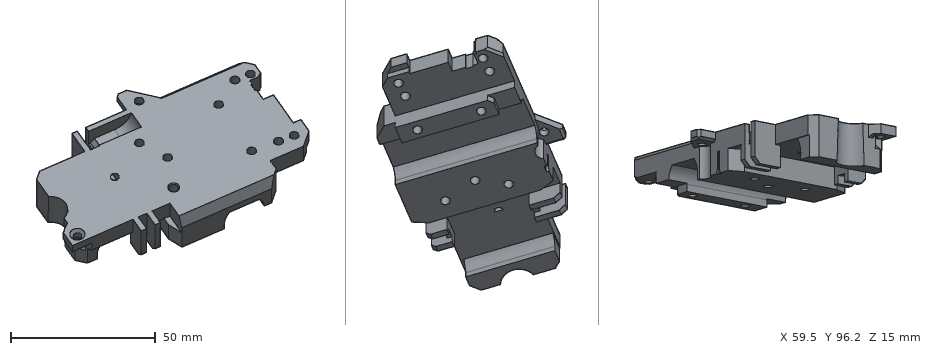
import cadquery as cq
import math

LENGTH = 96.2
WIDTH = 59.5
HEIGHT = 15.0
OVERCUT = 1.0

WALL_LEFT = 7.5
NECK_LEFT = 16.6
NECK_RIGHT = 51.0
NECK_FOOT_LEFT = 17.0
NECK_FOOT_RIGHT = 49.8
SHOULDER_Y = 38.6
STEP_Y = 78.1
REAR_Y = 94.1
REAR_EDGE_Y = 93.2
FRONT_Y = 3.4
FRONT_CORNER = 2.7
FOOT_CORNER = 3.2
SHOULDER_CORNER = 4.0

REAR_RIGHT = 51.4
RIGHT_TAB_LEFT = 40.6
RIGHT_TAB_CORNER = 5.0
LEFT_TAB_RIGHT = 16.1
NOTCH_LEFT, NOTCH_RIGHT, NOTCH_Y = 16.9, 26.5, 89.2
RELIEF_LEFT, RELIEF_RIGHT, RELIEF_Y = 18.9, 21.55, 88.6

DECK_Z = 7.9
TAIL_Z = 7.0
WEB_Z = 3.0
EAR_Z = 11.5
REAR_TAB_Z = 9.6

FIN_THICKNESS = 2.1
FRONT_FIN_Y = 24.0
REAR_FIN_Y = 29.4
FIN_RIGHT_END = 56.9
FIN_LEFT_CHAMFER = 2.3
FIN_RIGHT_CHAMFER = 1.7
SLOT_LEFT = 16.9
FIN_ROOT_LEFT = 18.95
FIN_ROOT_RIGHT = 49.2

ARCH_RADIUS = 7.9
ARCH_CENTRE_Z = 2.6
REAR_ARCH_Y = 63.3
FRONT_ARCH_Y = 18.4

MID_LEG_FRONT = 36.3
MID_LEG_CORNER_X = 5.5
GROOVE_Y = 44.0
GROOVE_WIDTH = 1.1
GROOVE_DEPTH = 0.5
GROOVE_MOUTH_DEPTH = 1.0
GROOVE_MOUTH_WIDTH = 2.3
GROOVE_MOUTH_HEIGHT = 2.9

REAR_FOOT_INSET = 8.2
REAR_FOOT_CORNER = 1.8

EAR_FRONT_Y = 45.5
EAR_TIP_REAR_Y = 49.8
EAR_CHAMFER = 1.0
EAR_ROOT_Y = EAR_TIP_REAR_Y + WALL_LEFT
EAR_HOLE = (6.3, 51.3)
EAR_GROOVE_DIAMETER = 6.4

LEFT_BEVEL = 1.5
RIGHT_BEVEL_X = 2.1
RIGHT_BEVEL_Z = 4.2
REAR_CORNER = 4.1
TAIL_BEVEL = 0.9

POCKET_LEFT = 9.5
POCKET_REAR_Y = 46.4
POCKET_FLOOR_Z = 9.7
POCKET_CURVE_END_Y = 39.7
POCKET_RAMP_Y = 31.7
POCKET_RAMP_END_Y = 30.1
POCKET_RAMP_DROP = 1.5

SCALLOP_X, SCALLOP_Y = 33.5, 1.2
SCALLOP_TOP_RADIUS = 5.9
SCALLOP_BOTTOM_RADIUS = 6.4
LUG_LEFT = 44.35
LUG_ROOT_LEFT = 41.4
LUG_HOLE = (47.4, 3.9)
LUG_HOLE_DIAMETER = 3.0
LUG_SINK_DIAMETER = 5.2
LUG_POCKET_DIAMETER = 5.8
LUG_POCKET_FLOOR_Z = 9.0
LUG_POCKET_BEVEL = 2.1
LUG_GUSSET = 1.2
LUG_GUSSET_WIDTH = 2.1

HOLE_DIAMETER = 3.3
WIDE_HOLE_DIAMETER = 3.4
HOLES = [(14.5, 90.7), (45.6, 90.7), (21.0, 74.6), (44.4, 74.6), (32.9, 47.7), (22.5, 42.3), EAR_HOLE]
WIDE_HOLES = [(14.2, 84.8), (45.2, 84.8)]
SUNK_HOLE = (45.5, 43.1)
SUNK_HOLE_MOUTH = 4.0
HALF_HOLE = (31.5, 27.6)
HALF_HOLE_DIAMETER = 3.0
HALF_HOLE_DEPTH = 0.3


def box(x0, x1, y0, y1, z0, z1):
    """Box between two opposite corners."""
    return cq.Workplane("XY").box(x1 - x0, y1 - y0, z1 - z0, centered=False).translate((x0, y0, z0))


def plate(points, z0, z1):
    """Polygon in plan, raised from z0 to z1."""
    return cq.Workplane("XY").workplane(offset=z0).polyline(points).close().extrude(z1 - z0)


def along_x(points, x0, x1):
    """Polygon of (y, z) points, run along X."""
    return cq.Workplane("YZ").workplane(offset=x0).polyline(points).close().extrude(x1 - x0)


def along_y(points, y0, y1):
    """Polygon of (x, z) points, run along Y."""
    return cq.Workplane("XZ").workplane(offset=-y0).polyline(points).close().extrude(y0 - y1)


def rod(centre, diameter, z0, z1):
    """Upright cylinder."""
    return cq.Workplane("XY").workplane(offset=z0).center(*centre).circle(diameter / 2).extrude(z1 - z0)


def sink(centre, mouth, bore):
    """45 degree countersink in the top face."""
    depth = (mouth - bore) / 2
    cone = cq.Solid.makeCone(bore / 2, mouth / 2, depth, pnt=cq.Vector(*centre, HEIGHT - depth))
    return cq.Workplane(cone)


def outline_block():
    """Full-height block with the outline of the top face."""
    points = [
        (NECK_LEFT + FRONT_CORNER, FRONT_Y),
        (LUG_ROOT_LEFT, FRONT_Y),
        (LUG_LEFT, 0),
        (NECK_RIGHT, 0),
        (NECK_RIGHT, SHOULDER_Y),
        (WIDTH, SHOULDER_Y),
        (WIDTH, STEP_Y - SHOULDER_CORNER),
        (WIDTH - SHOULDER_CORNER, STEP_Y),
        (REAR_RIGHT, STEP_Y),
        (REAR_RIGHT, LENGTH - RIGHT_TAB_CORNER),
        (REAR_RIGHT - RIGHT_TAB_CORNER, LENGTH),
        (RIGHT_TAB_LEFT, LENGTH),
        (RIGHT_TAB_LEFT, REAR_EDGE_Y),
        (NOTCH_RIGHT, REAR_EDGE_Y),
        (NOTCH_RIGHT, NOTCH_Y),
        (RELIEF_RIGHT, NOTCH_Y),
        (RELIEF_RIGHT, RELIEF_Y),
        (RELIEF_LEFT, RELIEF_Y),
        (RELIEF_LEFT, NOTCH_Y),
        (NOTCH_LEFT, NOTCH_Y),
        (NOTCH_LEFT, REAR_EDGE_Y),
        (LEFT_TAB_RIGHT, REAR_EDGE_Y),
        (LEFT_TAB_RIGHT, REAR_Y),
        (WALL_LEFT + REAR_CORNER, REAR_Y),
        (WALL_LEFT, REAR_Y - REAR_CORNER),
        (WALL_LEFT, EAR_ROOT_Y),
        (0, EAR_TIP_REAR_Y),
        (0, EAR_FRONT_Y + EAR_CHAMFER),
        (EAR_CHAMFER, EAR_FRONT_Y),
        (WALL_LEFT, EAR_FRONT_Y),
        (WALL_LEFT, REAR_FIN_Y),
        (SLOT_LEFT, REAR_FIN_Y),
        (SLOT_LEFT, FRONT_FIN_Y + FIN_THICKNESS),
        (NECK_LEFT, FRONT_FIN_Y + FIN_THICKNESS),
        (NECK_LEFT, FRONT_Y + FRONT_CORNER),
    ]
    return plate(points, 0, HEIGHT)


def arch(centre_y):
    """Round-topped opening across the underside, flat at deck level."""
    tube = cq.Workplane("YZ").center(centre_y, ARCH_CENTRE_Z).circle(ARCH_RADIUS).extrude(WIDTH)
    front, rear = centre_y - ARCH_RADIUS, centre_y + ARCH_RADIUS
    channel = box(0, WIDTH, front, rear, -OVERCUT, ARCH_CENTRE_Z)
    below_deck = box(0, WIDTH, front, rear, -OVERCUT, DECK_Z)
    return tube.union(channel).intersect(below_deck)


def underside_openings():
    """Everything missing below the deck between the legs."""
    bay = plate(
        [
            (0, REAR_FIN_Y),
            (WIDTH, REAR_FIN_Y),
            (WIDTH, MID_LEG_FRONT),
            (WALL_LEFT + MID_LEG_CORNER_X, MID_LEG_FRONT),
            (WALL_LEFT, SHOULDER_Y),
            (0, SHOULDER_Y),
        ],
        -OVERCUT,
        DECK_Z,
    )
    tail = box(0, WIDTH, STEP_Y, LENGTH, -OVERCUT, TAIL_Z)
    rear_tab = box(0, WIDTH, REAR_Y, LENGTH, 0, REAR_TAB_Z)
    front_bay = box(0, WIDTH, FRONT_ARCH_Y, REAR_FIN_Y, -OVERCUT, DECK_Z)
    ear = box(0, WALL_LEFT, EAR_FRONT_Y, EAR_ROOT_Y, -OVERCUT, EAR_Z)
    openings = bay.union(tail).union(rear_tab).union(front_bay).union(ear)
    return openings.union(arch(REAR_ARCH_Y)).union(arch(FRONT_ARCH_Y))


def right_ledge():
    """Front corner of the middle leg, standing out below the right shoulder."""
    points = [
        (NECK_FOOT_RIGHT, MID_LEG_FRONT),
        (WIDTH - MID_LEG_CORNER_X, MID_LEG_FRONT),
        (WIDTH, SHOULDER_Y),
        (NECK_FOOT_RIGHT, SHOULDER_Y),
    ]
    return plate(points, 0, DECK_Z)


def fins():
    """Two fins on each side with cut outer lower corners, joined by webs below the deck."""
    left = [
        (WALL_LEFT + FIN_LEFT_CHAMFER, 0),
        (FIN_ROOT_LEFT, 0),
        (FIN_ROOT_LEFT, HEIGHT),
        (WALL_LEFT, HEIGHT),
        (WALL_LEFT, FIN_LEFT_CHAMFER),
    ]
    right = [
        (FIN_RIGHT_END - FIN_RIGHT_CHAMFER, 0),
        (FIN_ROOT_RIGHT, 0),
        (FIN_ROOT_RIGHT, HEIGHT),
        (FIN_RIGHT_END, HEIGHT),
        (FIN_RIGHT_END, FIN_RIGHT_CHAMFER),
    ]
    webs = box(SLOT_LEFT, FIN_ROOT_LEFT, FRONT_FIN_Y, REAR_FIN_Y, WEB_Z, HEIGHT)
    webs = webs.union(box(FIN_ROOT_RIGHT, NECK_RIGHT, FRONT_FIN_Y, REAR_FIN_Y, WEB_Z, HEIGHT))
    for front_y in (FRONT_FIN_Y, REAR_FIN_Y):
        for profile in (left, right):
            webs = webs.union(along_y(profile, front_y, front_y + FIN_THICKNESS))
    return webs


def side_pocket():
    """Pocket in the left side: curved rear wall, flat floor and a ramp to a low front step."""
    run = POCKET_REAR_Y - POCKET_CURVE_END_Y
    drop = HEIGHT - POCKET_FLOOR_Z
    radius = (run**2 + drop**2) / (2 * drop)
    half_angle = math.atan2(drop, run)
    mid_curve = (
        POCKET_CURVE_END_Y + radius * math.sin(half_angle),
        POCKET_FLOOR_Z + radius * (1 - math.cos(half_angle)),
    )
    return (
        cq.Workplane("YZ")
        .workplane(offset=POCKET_LEFT)
        .moveTo(REAR_FIN_Y, HEIGHT)
        .lineTo(REAR_FIN_Y, POCKET_FLOOR_Z - POCKET_RAMP_DROP)
        .lineTo(POCKET_RAMP_END_Y, POCKET_FLOOR_Z - POCKET_RAMP_DROP)
        .lineTo(POCKET_RAMP_Y, POCKET_FLOOR_Z)
        .lineTo(POCKET_CURVE_END_Y, POCKET_FLOOR_Z)
        .threePointArc(mid_curve, (POCKET_REAR_Y, HEIGHT))
        .close()
        .extrude(NECK_LEFT - POCKET_LEFT)
    )


def top_bevels():
    """Long bevels along the left and right edges of the wide rear half."""
    left = along_y(
        [(WALL_LEFT, HEIGHT), (WALL_LEFT + LEFT_BEVEL, HEIGHT), (WALL_LEFT, HEIGHT - LEFT_BEVEL)],
        EAR_ROOT_Y,
        LENGTH,
    )
    ear_flank = plate(
        [
            (WALL_LEFT, EAR_ROOT_Y),
            (WALL_LEFT + LEFT_BEVEL, EAR_ROOT_Y),
            (WALL_LEFT + LEFT_BEVEL, EAR_ROOT_Y + LEFT_BEVEL),
        ],
        0,
        HEIGHT,
    )
    right = along_y(
        [(WIDTH, HEIGHT), (WIDTH - RIGHT_BEVEL_X, HEIGHT), (WIDTH, HEIGHT - RIGHT_BEVEL_Z)],
        SHOULDER_Y,
        STEP_Y,
    )
    return left.cut(ear_flank).union(right)


def tail_corner_bevel():
    """45 degree bevel under the slanted rear left corner."""
    corner = cq.Plane(
        origin=(WALL_LEFT, REAR_Y - REAR_CORNER, TAIL_Z), xDir=(1, -1, 0), normal=(1, 1, 0)
    )
    reach = REAR_CORNER * math.sqrt(2)
    wedge = cq.Workplane(corner).polyline([(0, 0), (TAIL_BEVEL, 0), (0, -TAIL_BEVEL)])
    return wedge.close().extrude(2 * reach, both=True)


def rear_foot_cut():
    """Sides of the rear leg set in below the step, with a slanted rear left corner."""
    y0 = REAR_ARCH_Y + ARCH_RADIUS - OVERCUT
    foot_left = WALL_LEFT + REAR_FOOT_INSET
    left = plate(
        [
            (WALL_LEFT, y0),
            (foot_left, y0),
            (foot_left, STEP_Y - REAR_FOOT_CORNER),
            (foot_left + REAR_FOOT_CORNER, STEP_Y),
            (WALL_LEFT, STEP_Y),
        ],
        0,
        WEB_Z,
    )
    right = box(WIDTH - REAR_FOOT_INSET, WIDTH, y0, STEP_Y, 0, WEB_Z)
    return left.union(right)


def mid_leg_groove():
    """Upright groove in the left side of the middle leg, flared at its lower end."""
    front = GROOVE_Y - GROOVE_WIDTH / 2
    rear = GROOVE_Y + GROOVE_WIDTH / 2
    mouth = GROOVE_MOUTH_WIDTH / 2
    groove = plate(
        [
            (WALL_LEFT, front),
            (WALL_LEFT + GROOVE_DEPTH, front + GROOVE_DEPTH),
            (WALL_LEFT + GROOVE_DEPTH, rear),
            (WALL_LEFT, rear),
        ],
        0,
        DECK_Z,
    )
    flare = along_x(
        [(GROOVE_Y - mouth, 0), (GROOVE_Y + mouth, 0), (GROOVE_Y, GROOVE_MOUTH_HEIGHT)],
        WALL_LEFT,
        WALL_LEFT + GROOVE_MOUTH_DEPTH,
    )
    return groove.union(flare)


def ear_bevels():
    """45 degree bevels under the tip and the front edge of the ear."""
    rise = EAR_Z + EAR_CHAMFER
    tip = along_y(
        [(0, EAR_Z), (EAR_CHAMFER, EAR_Z), (0, rise)], EAR_FRONT_Y, EAR_TIP_REAR_Y + EAR_CHAMFER
    )
    front = along_x(
        [(EAR_FRONT_Y, EAR_Z), (EAR_FRONT_Y + EAR_CHAMFER, EAR_Z), (EAR_FRONT_Y, rise)], 0, WALL_LEFT
    )
    return tip.union(front)


def front_foot_cut():
    """Space around the front foot: below the lug, and at the set-in sides."""
    chamfer_start = NECK_FOOT_RIGHT - FOOT_CORNER
    slant = NECK_RIGHT - chamfer_start
    under_lug = plate(
        [
            (0, -OVERCUT),
            (NECK_RIGHT + OVERCUT, -OVERCUT),
            (NECK_RIGHT + OVERCUT, FRONT_Y + slant + OVERCUT),
            (chamfer_start, FRONT_Y),
            (0, FRONT_Y),
        ],
        -OVERCUT,
        EAR_Z,
    )
    left = box(0, NECK_FOOT_LEFT, 0, FRONT_ARCH_Y, 0, DECK_Z)
    right = box(NECK_FOOT_RIGHT, WIDTH, 0, FRONT_ARCH_Y, 0, DECK_Z)
    return under_lug.union(left).union(right)


def lug_gusset():
    """Small fillet piece where the slanted side of the lug meets the front edge."""
    wedge = along_x(
        [(FRONT_Y, EAR_Z), (FRONT_Y - LUG_GUSSET, EAR_Z), (FRONT_Y, EAR_Z - LUG_GUSSET)],
        LUG_ROOT_LEFT,
        LUG_ROOT_LEFT + LUG_GUSSET_WIDTH,
    )
    return wedge.intersect(outline_block())


def lug_pocket():
    """Round pocket below the lug; its floor falls away at the front edge and the slanted corner."""
    well = rod(LUG_HOLE, LUG_POCKET_DIAMETER, LUG_POCKET_FLOOR_Z - LUG_POCKET_BEVEL, EAR_Z)
    corner_x = NECK_FOOT_RIGHT - FOOT_CORNER
    reach = 2 * LUG_POCKET_DIAMETER
    foot = plate(
        [
            (corner_x - reach, FRONT_Y),
            (corner_x, FRONT_Y),
            (corner_x + reach, FRONT_Y + reach),
            (corner_x - reach, FRONT_Y + reach),
        ],
        0,
        LUG_POCKET_FLOOR_Z,
    )
    return well.cut(foot.faces(">Z").edges("<Y or >(1,-1,0)").chamfer(LUG_POCKET_BEVEL))


def scallop():
    """Tapered round recess in the front edge."""
    base = cq.Vector(SCALLOP_X, SCALLOP_Y, 0)
    return cq.Workplane(cq.Solid.makeCone(SCALLOP_BOTTOM_RADIUS, SCALLOP_TOP_RADIUS, HEIGHT, pnt=base))


def holes():
    """Round holes through the part, with their countersinks, and the half-open hole."""
    through = [(place, HOLE_DIAMETER) for place in HOLES + [SUNK_HOLE]]
    through += [(place, WIDE_HOLE_DIAMETER) for place in WIDE_HOLES]
    through.append((LUG_HOLE, LUG_HOLE_DIAMETER))
    cutter = sink(SUNK_HOLE, SUNK_HOLE_MOUTH, HOLE_DIAMETER)
    cutter = cutter.union(sink(LUG_HOLE, LUG_SINK_DIAMETER, LUG_HOLE_DIAMETER))
    for place, diameter in through:
        bottom = EAR_Z - OVERCUT if place == LUG_HOLE else 0
        cutter = cutter.union(rod(place, diameter, bottom, HEIGHT))

    x, y = HALF_HOLE
    radius = HALF_HOLE_DIAMETER / 2
    rear_half = rod(HALF_HOLE, HALF_HOLE_DIAMETER, 0, HEIGHT)
    rear_half = rear_half.intersect(box(x - radius, x + radius, y, y + radius, 0, HEIGHT))
    shallow = rod(HALF_HOLE, HALF_HOLE_DIAMETER, HEIGHT - HALF_HOLE_DEPTH, HEIGHT)
    return cutter.union(rear_half).union(shallow)


result = outline_block().cut(underside_openings()).union(right_ledge())
result = result.union(fins())
result = result.cut(side_pocket()).cut(top_bevels()).cut(tail_corner_bevel())
result = result.cut(rear_foot_cut()).cut(mid_leg_groove())
result = result.cut(ear_bevels()).cut(rod(EAR_HOLE, EAR_GROOVE_DIAMETER, 0, EAR_Z))
result = result.cut(front_foot_cut()).union(lug_gusset()).cut(lug_pocket())
result = result.cut(scallop()).cut(holes())